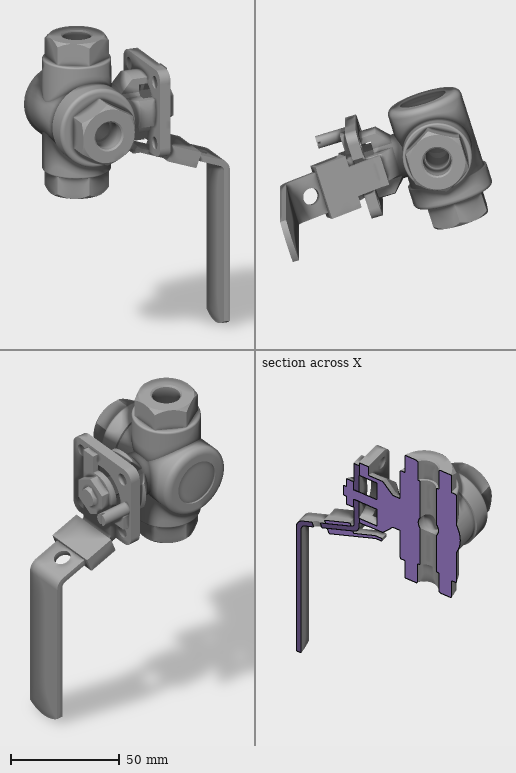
import cadquery as cq
import math

BARREL_DIAMETER = 35.5
BARREL_LEFT = -22.5
BARREL_END_FILLET = 3.0
END_RECESS_DIAMETER = 22.0
END_RECESS_DEPTH = 0.9
CAP_DIAMETER = 38.0
CAP_START = 15.5
CAP_END = 25.6
CAP_FILLET = 1.8
COLLAR_DIAMETER = 32.0
COLLAR_END = 27.3
COLLAR_FILLET = 0.9
HEX_ACROSS_FLATS = 25.9
SIDE_HEX_END = 37.3
VERTICAL_HEX_END = 37.9
BORE_DIAMETER = 11.0
THREAD_DIAMETER = 13.2
THREAD_DEPTH = 12.0
MOUTH_DIAMETER = 14.7
HEX_CORNER_RATIO = 2 / math.sqrt(3)

NECK_DIAMETER = 21.0
LEG_ROOT = 19.6
LEG_SHOULDER = 25.2
WELL_FLOOR = 28.6
FLANGE_BOTTOM = 33.0
FLANGE_TOP = 38.2
LEG_WIDTH = 13.2
LEG_OUTER_RADIUS = 16.2
STEM_WELL_DIAMETER = 27.0
FLANGE_SIZE = 42.3
FLANGE_CORNER_RADIUS = 5.1
FLANGE_HOLE_DIAMETER = 6.0
FLANGE_HOLE_OFFSET = 14.8
FLANGE_NOTCH_WIDTH = 17.5
FLANGE_NOTCH_DEPTH = 5.1

STEM_SQUARE = 9.0
STEM_TIP_DIAMETER = 8.5
STEM_TAPER_HEIGHT = 3.9
STEM_NUT_ACROSS_FLATS = 17.1
STEM_NUT_TOP = 45.3
STEM_TOP = 47.0

PIN_DIAMETER = 6.0
PIN_SHANK_DIAMETER = 5.0
PIN_X = -17.4
PIN_TOP = 52.9
PIN_SLOT_WIDTH = 1.2
PIN_SLOT_DEPTH = 1.8

HANDLE_WIDTH = 20.0
HANDLE_THICKNESS = 3.0
HANDLE_HUB_DIAMETER = 21.0
STOP_TAB_REACH = 19.3
HANDLE_SLOPE = 20.0
HANDLE_BEND_Z = -20.5
GRIP_BACK = 73.1
GRIP_BOTTOM = -112.0
GRIP_END_RADIUS = 17.4
UPPER_BEND_INNER_RADIUS = 1.5
GRIP_BEND_INNER_RADIUS = 2.7
HANDLE_HOLE_DIAMETER = 8.0
HANDLE_HOLE_PLACE = 23.2

SLEEVE_START = 2.5
SLEEVE_END = 17.8
SLEEVE_WIDTH = 25.5
SLEEVE_ROOF = 1.8
SLEEVE_FLOOR = 3.0
TONGUE_WIDTH = 14.2
TONGUE_THICKNESS = 2.0
TONGUE_TOP_Z = -19.5
TONGUE_END_Y = 25.5

HANDLE_TOP = FLANGE_TOP + HANDLE_THICKNESS
SLOPE = math.radians(HANDLE_SLOPE)
BEND_Y = FLANGE_TOP + HANDLE_THICKNESS / 2
GRIP_Y = GRIP_BACK - HANDLE_THICKNESS / 2
GRIP_BEND_Z = HANDLE_BEND_Z - (GRIP_Y - BEND_Y) * math.tan(SLOPE)
SLOPE_FRAME = cq.Plane(
    origin=(0, BEND_Y, HANDLE_BEND_Z),
    xDir=(0, math.cos(SLOPE), -math.sin(SLOPE)),
    normal=(1, 0, 0),
)


def cylinder_y(diameter, start, end):
    """Cylinder about the Y axis between two Y levels."""
    return cq.Workplane("XZ", origin=(0, start, 0)).circle(diameter / 2).extrude(start - end)


def plate_y(outline, start, end):
    """Move an outline drawn on the XZ plane to Y = start and extrude it to Y = end."""
    return outline.extrude(start - end).translate((0, start, 0))


def hex_fitting(end):
    """Hexagon along +Z from the origin, corners on the X axis, its far end chamfered at 45 degrees."""
    corner_diameter = HEX_ACROSS_FLATS * HEX_CORNER_RATIO
    chamfer = (corner_diameter - HEX_ACROSS_FLATS) / 2
    prism = cq.Workplane("XY").polygon(6, corner_diameter).extrude(end)
    chamfered_round = (
        cq.Workplane("XY").circle(corner_diameter / 2).extrude(end).faces(">Z").chamfer(chamfer)
    )
    return prism.intersect(chamfered_round)


def port_bore(end):
    """Bore from the centre of the valve along +Z, with a wider thread and a chamfered mouth."""
    bore_radius = BORE_DIAMETER / 2
    thread_radius = THREAD_DIAMETER / 2
    mouth_radius = MOUTH_DIAMETER / 2
    mouth_depth = mouth_radius - thread_radius
    profile = [
        (0, 0),
        (bore_radius, 0),
        (bore_radius, end - THREAD_DEPTH),
        (thread_radius, end - THREAD_DEPTH),
        (thread_radius, end - mouth_depth),
        (mouth_radius, end),
        (0, end),
    ]
    return cq.Workplane("XZ").polyline(profile).close().revolve(360, (0, 0), (0, 1))


def turn_about_y(shape, angle):
    return shape.rotate((0, 0, 0), (0, 1, 0), angle)


def make_barrel():
    barrel = (
        cq.Workplane("YZ", origin=(BARREL_LEFT, 0, 0))
        .circle(BARREL_DIAMETER / 2)
        .extrude(CAP_START - BARREL_LEFT)
        .faces("<X").edges().fillet(BARREL_END_FILLET)
    )
    recess = (
        cq.Workplane("YZ", origin=(BARREL_LEFT, 0, 0))
        .circle(END_RECESS_DIAMETER / 2)
        .extrude(END_RECESS_DEPTH)
    )
    cap = (
        cq.Workplane("YZ", origin=(CAP_START, 0, 0))
        .circle(CAP_DIAMETER / 2)
        .extrude(CAP_END - CAP_START)
        .faces(">X").edges().fillet(CAP_FILLET)
    )
    return barrel.cut(recess).union(cap)


def make_collars():
    return (
        cq.Workplane("XY", origin=(0, 0, -COLLAR_END))
        .circle(COLLAR_DIAMETER / 2)
        .extrude(2 * COLLAR_END)
        .faces("<Z or >Z").edges().fillet(COLLAR_FILLET)
    )


def make_neck_and_legs():
    """Neck and four legs; the stem well leaves gaps between the legs and the stem."""
    leg_profile = [
        (0, LEG_ROOT),
        (NECK_DIAMETER / 2, LEG_ROOT),
        (LEG_OUTER_RADIUS, LEG_SHOULDER),
        (LEG_OUTER_RADIUS, FLANGE_BOTTOM),
        (STEM_WELL_DIAMETER / 2, FLANGE_BOTTOM),
        (STEM_WELL_DIAMETER / 2, WELL_FLOOR),
        (0, WELL_FLOOR),
    ]
    cone = cq.Workplane("XY").polyline(leg_profile).close().revolve(360, (0, 0), (0, 1))
    bar = plate_y(cq.Workplane("XZ").rect(FLANGE_SIZE, LEG_WIDTH), LEG_ROOT, FLANGE_BOTTOM)
    cross = bar.union(turn_about_y(bar, 90))
    neck = cylinder_y(NECK_DIAMETER, 0, WELL_FLOOR)
    return cone.intersect(cross).union(neck)


def make_flange():
    flange = plate_y(cq.Workplane("XZ").rect(FLANGE_SIZE, FLANGE_SIZE), FLANGE_BOTTOM, FLANGE_TOP)
    flange = flange.edges("|Y").fillet(FLANGE_CORNER_RADIUS)
    hole_pitch = 2 * FLANGE_HOLE_OFFSET
    holes = plate_y(
        cq.Workplane("XZ").rarray(hole_pitch, hole_pitch, 2, 2).circle(FLANGE_HOLE_DIAMETER / 2),
        FLANGE_BOTTOM,
        FLANGE_TOP,
    )
    pin_hole = cylinder_y(PIN_SHANK_DIAMETER, FLANGE_BOTTOM, FLANGE_TOP).translate((PIN_X, 0, 0))
    notch = plate_y(
        cq.Workplane("XZ").rect(FLANGE_NOTCH_WIDTH, 2 * FLANGE_NOTCH_DEPTH),
        FLANGE_BOTTOM,
        FLANGE_TOP,
    ).translate((0, 0, -FLANGE_SIZE / 2))
    stem_well = cylinder_y(STEM_WELL_DIAMETER, FLANGE_BOTTOM, FLANGE_TOP)
    return flange.cut(holes).cut(pin_hole).cut(notch).cut(stem_well)


def stem_square(start, end):
    """Square shaft of the stem, its corners on the X and Z axes."""
    outline = cq.Workplane("XZ").transformed(rotate=(0, 0, 45)).rect(STEM_SQUARE, STEM_SQUARE)
    return plate_y(outline, start, end)


def make_stem():
    """Square stem that passes through the handle, with a tapered round tip, and its nut."""
    corner_radius = STEM_SQUARE / math.sqrt(2)
    taper_profile = [
        (0, WELL_FLOOR),
        (corner_radius, WELL_FLOOR),
        (corner_radius, STEM_TOP - STEM_TAPER_HEIGHT),
        (STEM_TIP_DIAMETER / 2, STEM_TOP),
        (0, STEM_TOP),
    ]
    tapered_round = cq.Workplane("XY").polyline(taper_profile).close().revolve(360, (0, 0), (0, 1))
    shaft = stem_square(WELL_FLOOR, STEM_TOP).intersect(tapered_round)
    nut = plate_y(
        cq.Workplane("XZ")
        .transformed(rotate=(0, 0, 30))
        .polygon(6, STEM_NUT_ACROSS_FLATS * HEX_CORNER_RATIO),
        HANDLE_TOP,
        STEM_NUT_TOP,
    )
    return shaft.union(nut)


def make_housing():
    housing = make_barrel().union(make_collars())
    ports = [(0, VERTICAL_HEX_END), (180, VERTICAL_HEX_END), (90, SIDE_HEX_END)]
    for angle, end in ports:
        housing = housing.union(turn_about_y(hex_fitting(end), angle))
    housing = housing.union(make_neck_and_legs()).union(make_flange()).union(make_stem())
    for angle, end in ports:
        housing = housing.cut(turn_about_y(port_bore(end), angle))
    return housing


def make_pin():
    """Slotted pin standing on the flange, with a thinner shank that fills its hole."""
    shank = cylinder_y(PIN_SHANK_DIAMETER, FLANGE_BOTTOM, FLANGE_TOP)
    pin = cylinder_y(PIN_DIAMETER, FLANGE_TOP, PIN_TOP).union(shank)
    slot = cq.Workplane("XY").box(PIN_SLOT_WIDTH, 2 * PIN_SLOT_DEPTH, PIN_DIAMETER)
    return pin.cut(slot.translate((0, PIN_TOP, 0))).translate((PIN_X, 0, 0))


def make_strip():
    """Bent strip: flat at the flange, then sloped, then straight down as the grip."""
    half = HANDLE_THICKNESS / 2
    mitre = half * math.tan((math.pi / 2 - SLOPE) / 2)
    upper_bend_outer_radius = UPPER_BEND_INNER_RADIUS + HANDLE_THICKNESS
    grip_bend_outer_radius = GRIP_BEND_INNER_RADIUS + HANDLE_THICKNESS
    bends = [
        (BEND_Y - half, HANDLE_BEND_Z - mitre, upper_bend_outer_radius),
        (BEND_Y + half, HANDLE_BEND_Z + mitre, UPPER_BEND_INNER_RADIUS),
        (GRIP_Y + half, GRIP_BEND_Z + mitre, grip_bend_outer_radius),
        (GRIP_Y - half, GRIP_BEND_Z - mitre, GRIP_BEND_INNER_RADIUS),
    ]
    front_upper, back_upper, back_lower, front_lower = [(y, z) for y, z, _ in bends]
    profile = [
        (FLANGE_TOP, 0),
        front_upper,
        front_lower,
        (GRIP_Y - half, GRIP_BOTTOM),
        (GRIP_Y + half, GRIP_BOTTOM),
        back_lower,
        back_upper,
        (HANDLE_TOP, 0),
    ]
    strip = cq.Workplane("YZ").polyline(profile).close().extrude(HANDLE_WIDTH / 2, both=True)
    for y, z, radius in bends:
        strip = strip.edges(cq.NearestToPointSelector((0, y, z))).fillet(radius)
    return strip


def make_grip_outline():
    """Straight-sided block with an arc end, as wide as the handle."""
    half = HANDLE_WIDTH / 2
    arc_height = GRIP_END_RADIUS - math.sqrt(GRIP_END_RADIUS**2 - half**2)
    outline = (
        cq.Workplane("XZ")
        .moveTo(-half, 0)
        .lineTo(-half, GRIP_BOTTOM + arc_height)
        .threePointArc((0, GRIP_BOTTOM), (half, GRIP_BOTTOM + arc_height))
        .lineTo(half, 0)
        .close()
    )
    return plate_y(outline, FLANGE_TOP, GRIP_BACK)


def make_handle():
    handle = make_strip().intersect(make_grip_outline())
    hub = cylinder_y(HANDLE_HUB_DIAMETER, FLANGE_TOP, HANDLE_TOP)
    tab_inner = PIN_DIAMETER / 2
    tab_outer = HANDLE_WIDTH / 2
    tab_centre = (tab_inner + tab_outer) / 2
    tab_width = tab_outer - tab_inner
    upper_tab = plate_y(
        cq.Workplane("XZ").center(tab_centre, STOP_TAB_REACH / 2).rect(tab_width, STOP_TAB_REACH),
        FLANGE_TOP,
        HANDLE_TOP,
    )
    side_tab = plate_y(
        cq.Workplane("XZ").center(-STOP_TAB_REACH / 2, -tab_centre).rect(STOP_TAB_REACH, tab_width),
        FLANGE_TOP,
        HANDLE_TOP,
    )
    hole = (
        cq.Workplane(SLOPE_FRAME)
        .transformed(offset=(HANDLE_HOLE_PLACE, 0, 0), rotate=(90, 0, 0))
        .circle(HANDLE_HOLE_DIAMETER / 2)
        .extrude(HANDLE_THICKNESS, both=True)
    )
    return handle.union(hub).union(upper_tab).union(side_tab).cut(hole).cut(stem_square(FLANGE_TOP, HANDLE_TOP))


def make_latch():
    half = HANDLE_THICKNESS / 2
    bottom = -half - SLEEVE_FLOOR
    sleeve = (
        cq.Workplane(SLOPE_FRAME)
        .moveTo(SLEEVE_START, bottom)
        .lineTo(SLEEVE_END, bottom)
        .lineTo(SLEEVE_END, half + SLEEVE_ROOF)
        .lineTo(SLEEVE_START, half + SLEEVE_ROOF)
        .close()
        .extrude(SLEEVE_WIDTH / 2, both=True)
    )
    opening = (
        cq.Workplane(SLOPE_FRAME)
        .center((SLEEVE_START + SLEEVE_END) / 2, 0)
        .rect(SLEEVE_END - SLEEVE_START, HANDLE_THICKNESS)
        .extrude(HANDLE_WIDTH / 2, both=True)
    )
    root_low = SLOPE_FRAME.toWorldCoords((SLEEVE_START, bottom))
    root_high = SLOPE_FRAME.toWorldCoords((SLEEVE_START, bottom + TONGUE_THICKNESS))
    tongue_bottom_z = TONGUE_TOP_Z - TONGUE_THICKNESS
    bend_low_y = root_low.y - (tongue_bottom_z - root_low.z) / math.tan(SLOPE)
    bend_high_y = root_high.y - (TONGUE_TOP_Z - root_high.z) / math.tan(SLOPE)
    tongue = (
        cq.Workplane("YZ")
        .moveTo(root_low.y, root_low.z)
        .lineTo(bend_low_y, tongue_bottom_z)
        .lineTo(TONGUE_END_Y, tongue_bottom_z)
        .lineTo(TONGUE_END_Y, TONGUE_TOP_Z)
        .lineTo(bend_high_y, TONGUE_TOP_Z)
        .lineTo(root_high.y, root_high.z)
        .close()
        .extrude(TONGUE_WIDTH / 2, both=True)
    )
    return sleeve.cut(opening).union(tongue)


housing = make_housing()
pin = make_pin()
handle = make_handle()
latch = make_latch()

result = cq.Compound.makeCompound([housing.val(), pin.val(), handle.val(), latch.val()])